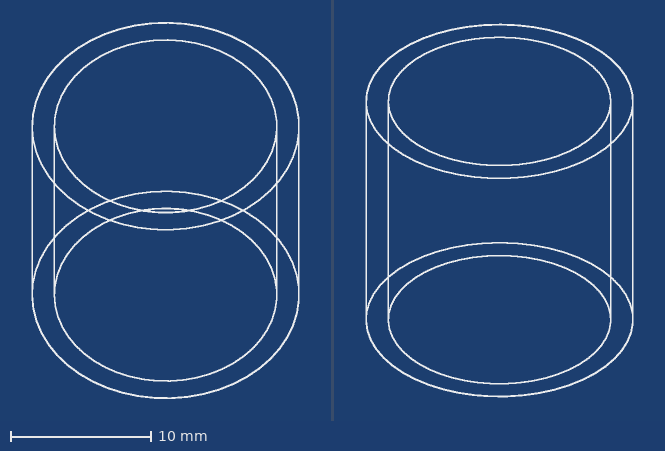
import cadquery as cq

outer_diameter = 19.05
bore_diameter = 15.87
length = 19.05

result = (
    cq.Workplane("XY")
    .circle(outer_diameter / 2)
    .circle(bore_diameter / 2)
    .extrude(length)
)